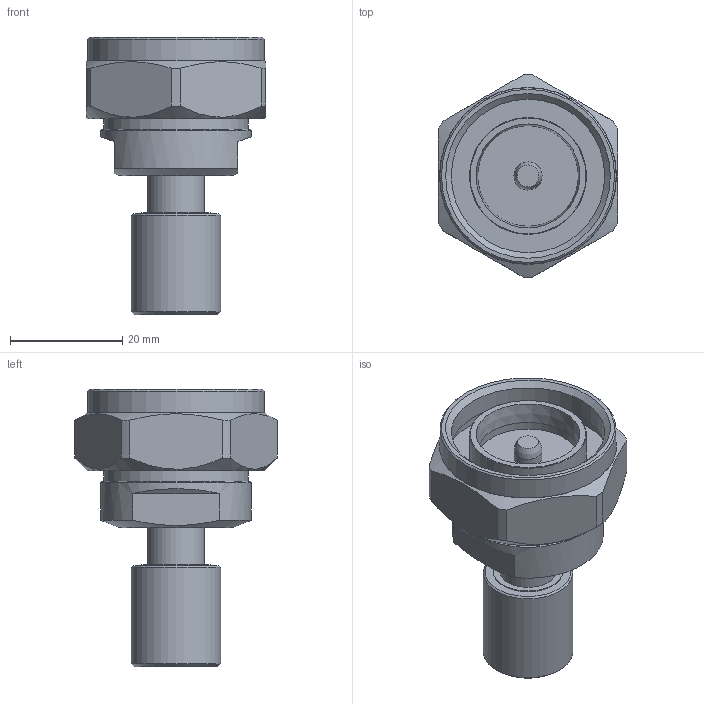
import cadquery as cq
import math

total_height = 49.35

sleeve_radius = 7.95
sleeve_height = 18.0
sleeve_bottom_chamfer_radial = 0.6
sleeve_bottom_chamfer_axial = 0.5
sleeve_top_chamfer = 0.3

neck_radius = 5.05
neck_ring_radius = 6.2
neck_ring_height = 0.15

body_radius = 13.43
body_bottom_radius = 10.0
body_bottom_z = 24.75
body_bottom_cone_height = 1.3
body_top_z = 33.0
body_top_chamfer = 0.2
flat_half_width = 11.0
flat_top_z = 30.8
flat_runout_z = 31.65
flat_cutter_overlap = 1.0

collar_radius = 12.83

hex_sides = 6
hex_half_angle = 180.0 / hex_sides
hex_across_flats = 32.0
hex_corner_radius = 18.0
hex_bottom_z = 34.87
hex_top_z = 45.15
hex_chamfer_start_radius = 15.75
hex_top_chamfer_angle = 30.0
hex_bottom_chamfer_angle = 45.0

rim_radius = 15.7
rim_chamfer = 0.3
mouth_radius = 14.65
cavity_radius = 13.65
mouth_depth = 0.95
lip_bottom_z = total_height - 4.5
undercut_radius = 15.0
cavity_floor_z = total_height - 7.25

tube_radius = 10.4
tube_edge_chamfer = 0.1
tube_top_z = total_height - 1.35
tube_mouth_radius = 9.25
tube_bore_radius = 8.95
tube_taper_end_z = total_height - 5.15
tube_floor_z = total_height - 6.6

pin_radius = 2.5
pin_tip_radius = 1.95
pin_top_z = total_height - 3.15
pin_nose_start_z = total_height - 5.1


def revolve_profile(profile):
    """Close a half profile drawn in the XZ plane and revolve it about Z."""
    return profile.close().revolve(360, (0, 0, 0), (0, 1, 0))


def cylinder(radius, bottom_z, top_z):
    return cq.Workplane("XY").workplane(offset=bottom_z).circle(radius).extrude(top_z - bottom_z)


def make_sleeve_and_neck():
    ring_top_z = sleeve_height + neck_ring_height
    profile = (
        cq.Workplane("XZ")
        .moveTo(0, 0)
        .lineTo(sleeve_radius - sleeve_bottom_chamfer_radial, 0)
        .lineTo(sleeve_radius, sleeve_bottom_chamfer_axial)
        .lineTo(sleeve_radius, sleeve_height - sleeve_top_chamfer)
        .lineTo(sleeve_radius - sleeve_top_chamfer, sleeve_height)
        .lineTo(neck_ring_radius, sleeve_height)
        .lineTo(neck_ring_radius, ring_top_z)
        .lineTo(neck_radius, ring_top_z)
        .lineTo(neck_radius, body_bottom_z)
        .lineTo(0, body_bottom_z)
    )
    return revolve_profile(profile)


def make_flat_cutter():
    """Material removed on the +X side: a vertical flat with a sloped run-out on top."""
    slope = (flat_runout_z - flat_top_z) / (body_radius - flat_half_width)
    outer_x = body_radius + flat_cutter_overlap
    outer_z = flat_top_z + slope * (outer_x - flat_half_width)
    return (
        cq.Workplane("XZ")
        .moveTo(flat_half_width, body_bottom_z)
        .lineTo(outer_x, body_bottom_z)
        .lineTo(outer_x, outer_z)
        .lineTo(flat_half_width, flat_top_z)
        .close()
        .extrude(body_radius, both=True)
    )


def make_body():
    profile = (
        cq.Workplane("XZ")
        .moveTo(0, body_bottom_z)
        .lineTo(body_bottom_radius, body_bottom_z)
        .lineTo(body_radius, body_bottom_z + body_bottom_cone_height)
        .lineTo(body_radius, body_top_z - body_top_chamfer)
        .lineTo(body_radius - body_top_chamfer, body_top_z)
        .lineTo(0, body_top_z)
    )
    body = revolve_profile(profile)
    cutter = make_flat_cutter()
    return body.cut(cutter).cut(cutter.mirror("YZ"))


def make_hexagon():
    """Hexagon with flats on +X and -X, trimmed by a round blank chamfered at both ends."""
    corner_diameter = hex_across_flats / math.cos(math.radians(hex_half_angle))
    prism = (
        cq.Workplane("XY")
        .workplane(offset=hex_bottom_z)
        .transformed(rotate=(0, 0, hex_half_angle))
        .polygon(hex_sides, corner_diameter)
        .extrude(hex_top_z - hex_bottom_z)
    )
    chamfer_width = hex_corner_radius - hex_chamfer_start_radius
    top_drop = chamfer_width * math.tan(math.radians(hex_top_chamfer_angle))
    bottom_rise = chamfer_width * math.tan(math.radians(hex_bottom_chamfer_angle))
    blank = (
        cq.Workplane("XZ")
        .moveTo(0, hex_bottom_z)
        .lineTo(hex_chamfer_start_radius, hex_bottom_z)
        .lineTo(hex_corner_radius, hex_bottom_z + bottom_rise)
        .lineTo(hex_corner_radius, hex_top_z - top_drop)
        .lineTo(hex_chamfer_start_radius, hex_top_z)
        .lineTo(0, hex_top_z)
    )
    return prism.intersect(revolve_profile(blank))


def make_rim():
    rim = cylinder(rim_radius, hex_top_z, total_height)
    return rim.faces(">Z").edges().chamfer(rim_chamfer)


def make_cavity():
    profile = (
        cq.Workplane("XZ")
        .moveTo(0, cavity_floor_z)
        .lineTo(undercut_radius, cavity_floor_z)
        .lineTo(undercut_radius, lip_bottom_z)
        .lineTo(cavity_radius, lip_bottom_z)
        .lineTo(cavity_radius, total_height - mouth_depth)
        .lineTo(mouth_radius, total_height)
        .lineTo(0, total_height)
    )
    return revolve_profile(profile)


def make_tube():
    tube = cylinder(tube_radius, cavity_floor_z, tube_top_z)
    return tube.faces(">Z").edges().chamfer(tube_edge_chamfer)


def make_tube_bore():
    profile = (
        cq.Workplane("XZ")
        .moveTo(0, tube_floor_z)
        .lineTo(tube_bore_radius, tube_floor_z)
        .lineTo(tube_bore_radius, tube_taper_end_z)
        .lineTo(tube_mouth_radius, tube_top_z)
        .lineTo(0, tube_top_z)
    )
    return revolve_profile(profile)


def make_pin():
    profile = (
        cq.Workplane("XZ")
        .moveTo(0, tube_floor_z)
        .lineTo(pin_radius, tube_floor_z)
        .lineTo(pin_radius, pin_nose_start_z)
        .tangentArcPoint((pin_tip_radius, pin_top_z), relative=False)
        .lineTo(0, pin_top_z)
    )
    return revolve_profile(profile)


shell = (
    make_sleeve_and_neck()
    .union(make_body())
    .union(cylinder(collar_radius, body_top_z, hex_bottom_z))
    .union(make_hexagon())
    .union(make_rim())
)
result = shell.cut(make_cavity()).union(make_tube()).cut(make_tube_bore()).union(make_pin())